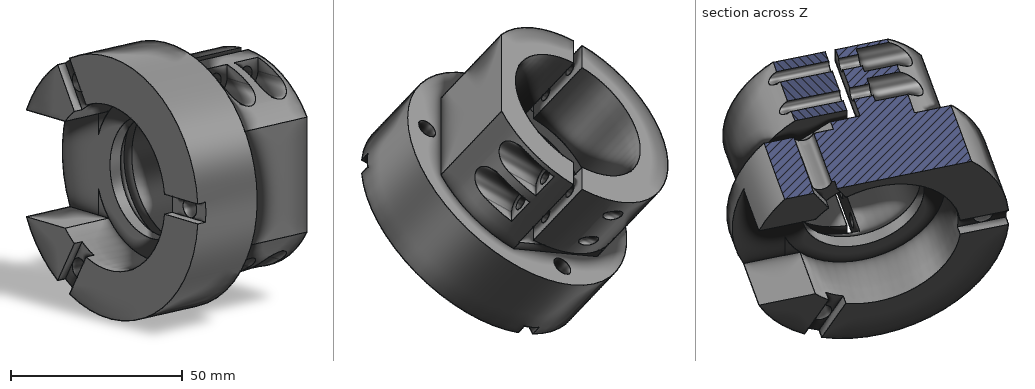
import cadquery as cq

LENGTH = 53.0
FLANGE_DIAMETER = 79
FLANGE_LENGTH = 23.0
COLLAR_DIAMETER = 65.0
GAP = 3.0
SEAT_Y = FLANGE_LENGTH + GAP
CAP_Y = SEAT_Y + GAP

POCKET_DIAMETER = 49.85
POCKET_DEPTH = 17.0
LIP_DIAMETER = 37.0
LIP_LENGTH = 4.0
CLAMP_BORE_DIAMETER = 45

WINDOW_HEIGHT = 32.2
WINDOW_INNER_X = -23.55
CORNER_STEP = 0.1

STATION_ANGLES = (0, 120, 240)
MOUNT_HOLE_DIAMETER = 6.0
MOUNT_RADIUS = COLLAR_DIAMETER / 2
SLOT_WIDTH = MOUNT_HOLE_DIAMETER
SLOT_DEPTH = 3.0
FLAT_DISTANCE = 27.5

SCREW_Z = 27.5
SCREW_SPACING = 12.0
SCREW_MID_Y = (CAP_Y + LENGTH) / 2
CAP_HOLE_DIAMETER = 4.0
BODY_HOLE_DIAMETER = 4.5
HEAD_DIAMETER = 9.0
HEAD_SEAT_X = 7.5

REACH = FLANGE_DIAMETER


def disc(diameter, y_start, y_end):
    """Cylinder on the Y axis."""
    return cq.Workplane("XZ", origin=(0, y_start, 0)).circle(diameter / 2).extrude(y_start - y_end)


def block(x_start, x_end, y_start, y_end, height):
    """Box centred on Z = 0."""
    size = (x_end - x_start, y_end - y_start, height)
    return cq.Workplane("XY").box(*size, centered=(False, False, True)).translate((x_start, y_start, 0))


def at_stations(tool):
    """Copies of a tool turned about the Y axis to every mounting station."""
    copies = cq.Workplane("XY")
    for angle in STATION_ANGLES:
        copies = copies.add(tool.rotate((0, 0, 0), (0, 1, 0), angle))
    return copies.combine()


def screw_cylinders(diameter, x_start):
    """Cylinders on the four screw axes, from x_start towards +X."""
    return (
        cq.Workplane("YZ", origin=(x_start, SCREW_MID_Y, 0))
        .rarray(SCREW_SPACING, 2 * SCREW_Z, 2, 2)
        .circle(diameter / 2)
        .extrude(REACH)
    )


def head_pockets():
    """Screw head counterbores, opened from the screw axis straight out to +Z and -Z."""
    pockets = screw_cylinders(HEAD_DIAMETER, HEAD_SEAT_X)
    opening_height = COLLAR_DIAMETER / 2 - SCREW_Z
    openings = (
        cq.Workplane("YZ", origin=(HEAD_SEAT_X, SCREW_MID_Y, 0))
        .rarray(SCREW_SPACING, 2 * SCREW_Z + opening_height, 2, 2)
        .rect(HEAD_DIAMETER, opening_height)
        .extrude(REACH)
    )
    return pockets.union(openings)


def make_collar():
    """Seat ring and half collar, relieved by a flat at each mounting station."""
    seat = disc(COLLAR_DIAMETER, FLANGE_LENGTH, SEAT_Y)
    half = disc(COLLAR_DIAMETER, SEAT_Y, LENGTH).intersect(block(GAP / 2, REACH, SEAT_Y, LENGTH, REACH))
    flat = block(FLAT_DISTANCE, REACH, FLANGE_LENGTH, LENGTH, REACH)
    collar = seat.union(half).cut(at_stations(flat))
    collar = collar.cut(screw_cylinders(BODY_HOLE_DIAMETER, 0))
    return collar.cut(head_pockets())


def cut_bore(body):
    """Front pocket, lip and clamp bore."""
    lip_end = POCKET_DEPTH + LIP_LENGTH
    body = body.cut(disc(POCKET_DIAMETER, 0, POCKET_DEPTH))
    body = body.cut(disc(LIP_DIAMETER, 0, LENGTH))
    return body.cut(disc(CLAMP_BORE_DIAMETER, lip_end, LENGTH))


def cut_window(body):
    """Side window, with slightly shallower corners where it meets the pocket."""
    body = body.cut(block(-REACH, WINDOW_INNER_X, 0, POCKET_DEPTH, WINDOW_HEIGHT))
    return body.cut(block(WINDOW_INNER_X, 0, 0, POCKET_DEPTH - CORNER_STEP, WINDOW_HEIGHT))


def cut_stations(body):
    """Radial face slots and mounting holes through the flange."""
    slot = block(0, REACH, 0, SLOT_DEPTH, SLOT_WIDTH)
    hole = disc(MOUNT_HOLE_DIAMETER, 0, FLANGE_LENGTH).translate((MOUNT_RADIUS, 0, 0))
    return body.cut(at_stations(slot)).cut(at_stations(hole))


def make_body():
    """Flange with the fixed half of the split collar."""
    body = disc(FLANGE_DIAMETER, 0, FLANGE_LENGTH).union(make_collar())
    return cut_stations(cut_window(cut_bore(body)))


def make_cap():
    """Loose half of the split collar."""
    cap = disc(COLLAR_DIAMETER, CAP_Y, LENGTH).cut(disc(CLAMP_BORE_DIAMETER, CAP_Y, LENGTH))
    cap = cap.intersect(block(-REACH, -GAP / 2, CAP_Y, LENGTH, REACH))
    return cap.cut(screw_cylinders(CAP_HOLE_DIAMETER, -REACH))


body = make_body()
cap = make_cap()
result = cq.Compound.makeCompound([body.solids().val(), cap.solids().val()])